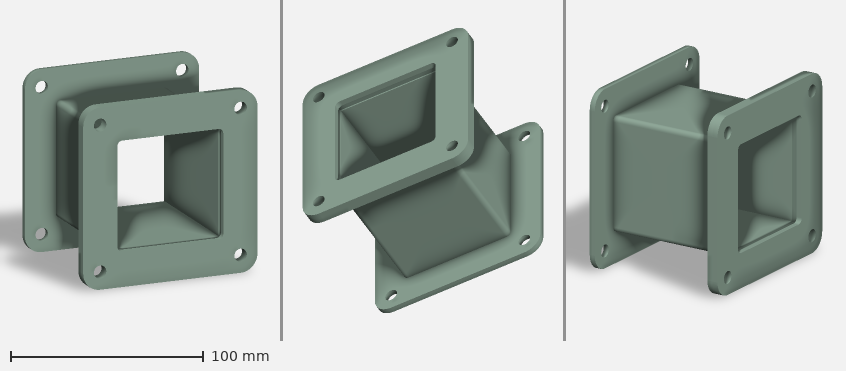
import cadquery as cq

plate_size = 98.4
plate_thickness = 3.15
plate_corner_radius = 9.5
flange_opening = 61.4
end_opening_radius = 2.8
hole_spacing = 79.3
hole_diameter = 7.0

tube_length = 70.0
tube_outer = 63.5
tube_wall = 1.9
tube_outer_radius = 2.8

tube_inner = tube_outer - 2 * tube_wall
total_length = tube_length + 3 * plate_thickness

front_flange_x = -total_length / 2
tube_x = front_flange_x + plate_thickness
rear_flange_x = tube_x + tube_length
end_plate_x = rear_flange_x + plate_thickness


def square_bar(start_x, length, side):
    """Sharp-edged square bar along X."""
    return cq.Workplane("YZ", origin=(start_x, 0, 0)).rect(side, side).extrude(length)


def rounded_bar(start_x, length, side, corner_radius):
    """Square bar along X with rounded long edges."""
    return square_bar(start_x, length, side).edges("|X").fillet(corner_radius)


def make_plate_blank(start_x):
    """Square plate with rounded corners and four bolt holes."""
    plate = rounded_bar(start_x, plate_thickness, plate_size, plate_corner_radius)
    bolt_holes = (
        cq.Workplane("YZ", origin=(start_x, 0, 0))
        .rect(hole_spacing, hole_spacing, forConstruction=True)
        .vertices()
        .circle(hole_diameter / 2)
        .extrude(plate_thickness)
    )
    return plate.cut(bolt_holes)


def make_flange(start_x):
    """Flange with a sharp-cornered opening slightly wider than the tube bore."""
    opening = square_bar(start_x, plate_thickness, flange_opening)
    return make_plate_blank(start_x).cut(opening)


def make_end_plate():
    """Plate behind the rear flange; its round-cornered opening matches the tube bore."""
    opening = rounded_bar(end_plate_x, plate_thickness, tube_inner, end_opening_radius)
    return make_plate_blank(end_plate_x).cut(opening)


def make_tube():
    """Square tube with rounded outer edges and a sharp-edged bore, between the flanges."""
    outside = rounded_bar(tube_x, tube_length, tube_outer, tube_outer_radius)
    return outside.cut(square_bar(tube_x, tube_length, tube_inner))


tube = make_tube()
flanges = [make_flange(x) for x in (front_flange_x, rear_flange_x)]
end_plate = make_end_plate()

result = cq.Compound.makeCompound([tube.val(), *[flange.val() for flange in flanges], end_plate.val()])